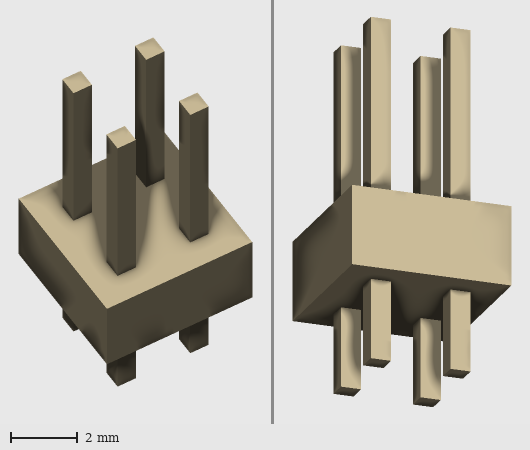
import cadquery as cq

rows = 2
columns = 2
header_width = 5.08
pin_length = 10.92
pin_side = 0.64

pitch = header_width / columns
tail_length = pitch


def make_pin(x, y):
    """Square pin standing on z = 0, centred on (x, y)."""
    return cq.Workplane("XY").center(x, y).rect(pin_side, pin_side).extrude(pin_length)


def make_housing(x, y):
    """Cube-shaped insulator with a square through hole that fits one pin."""
    block = cq.Workplane("XY", origin=(x, y, tail_length)).rect(pitch, pitch).extrude(pitch)
    return block.cut(make_pin(x, y))


housings = []
pins = []
for column in range(columns):
    for row in range(rows):
        x = (column - (columns - 1) / 2) * pitch
        y = (row - (rows - 1) / 2) * pitch
        housings.append(make_housing(x, y).val())
        pins.append(make_pin(x, y).val())

result = cq.Compound.makeCompound([*housings, *pins])